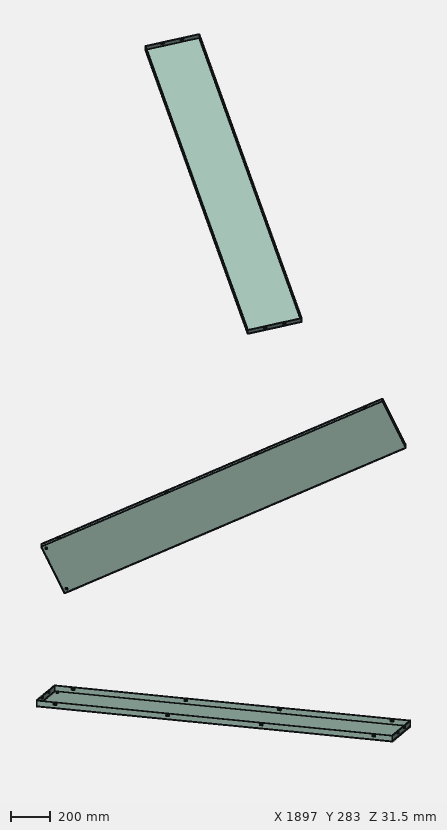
import cadquery as cq

length = 1897.0
width = 283.0
height = 31.5
sheet = 1.5
bend_radius = sheet

corner_web = 0.05
corner_notch = sheet - corner_web

slot_length = 16.0
slot_height = 8.0
slot_drop = 10.0
long_wall_slots = [-850.0, -250.0, 250.0, 850.0]
end_wall_slots = [-50.0, 50.0]

floor_hole_diameter = 9.0
floor_hole_inset = 20.0


def floor_box(x_size, y_size, z_size):
    """Block centred on the Z axis and standing on Z = 0."""
    return cq.Workplane("XY").box(x_size, y_size, z_size, centered=(True, True, False))


def make_tray():
    """Flat floor folded up into four walls, open at the top."""
    outside = floor_box(length, width, height).faces("<Z").edges().fillet(bend_radius)
    inside = floor_box(length - 2 * sheet, width - 2 * sheet, height - sheet)
    return outside.cut(inside.translate((0, 0, sheet)))


def corner_notch_cutter():
    """Four square posts that separate the outer faces of the walls at the corners."""
    centres = cq.Workplane("XY").rect(
        length - corner_notch, width - corner_notch, forConstruction=True
    )
    return centres.vertices().rect(corner_notch, corner_notch).extrude(height)


def slot_cutter(plane, positions, span):
    """Slots at the given positions along a wall, running through both opposite walls."""
    centres = [(position, height - slot_drop) for position in positions]
    profile = cq.Workplane(plane).pushPoints(centres).slot2D(slot_length, slot_height)
    return profile.extrude(span / 2, both=True)


def floor_hole_cutter():
    """A mirrored pair of round holes through the floor."""
    x = length / 2 - floor_hole_inset
    y = width / 2 - floor_hole_inset
    centres = cq.Workplane("XY").pushPoints([(x, -y), (x, y)])
    return centres.circle(floor_hole_diameter / 2).extrude(sheet)


result = (
    make_tray()
    .cut(corner_notch_cutter())
    .cut(slot_cutter("XZ", long_wall_slots, width))
    .cut(slot_cutter("YZ", end_wall_slots, length))
    .cut(floor_hole_cutter())
)